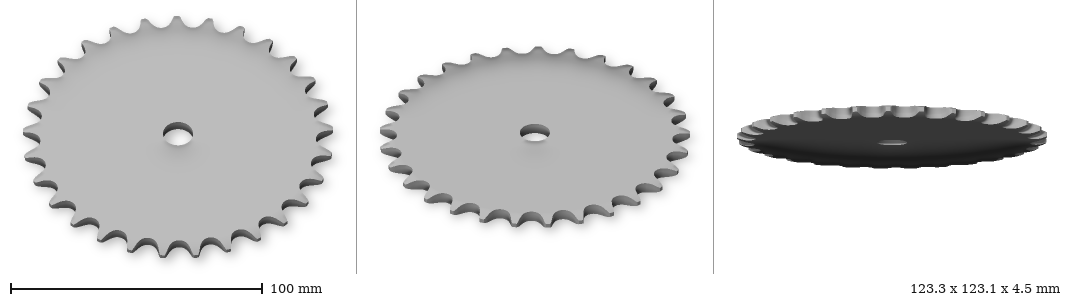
import cadquery as cq
import math

outer_width = 123.3
tooth_count = 29
chain_pitch = 12.7
tip_half_angle = 0.8
thickness = 4.5
bore_diameter = 12.0

seat_radius = 4.0
seat_half_angle = 55 - 60 / tooth_count
working_radius = 10.1
working_angle = 18 - 56 / tooth_count
flat_length = 1.06
topping_radius = 6.3
topping_angle = 30

side_start_radius = 56.0
side_arc_radius = 12.7

pitch_angle = 360 / tooth_count
pitch_radius = chain_pitch / (2 * math.sin(math.radians(pitch_angle / 2)))
root_radius = pitch_radius - seat_radius

widest_corner_angle = pitch_angle / 4 - tip_half_angle
tip_radius = outer_width / 2 / math.cos(math.radians(widest_corner_angle))


def arc_point(start, heading, radius, turn):
    """End of an arc that leaves start at a heading; angles in degrees, a left turn is positive."""
    side = math.copysign(radius, turn)
    begin = math.radians(heading)
    end = math.radians(heading + turn)
    return (
        start[0] + side * (math.sin(end) - math.sin(begin)),
        start[1] - side * (math.cos(end) - math.cos(begin)),
    )


def mirrored(point):
    return (-point[0], point[1])


def make_gap():
    """Cutter for one tooth gap, centred on +Y; each flank is a chain of tangent curves."""
    root = (0, root_radius)
    seat_end = arc_point(root, 0, seat_radius, seat_half_angle)

    working_middle = arc_point(seat_end, seat_half_angle, working_radius, working_angle / 2)
    working_end = arc_point(seat_end, seat_half_angle, working_radius, working_angle)

    flank_heading = seat_half_angle + working_angle
    flat_end = (
        working_end[0] + flat_length * math.cos(math.radians(flank_heading)),
        working_end[1] + flat_length * math.sin(math.radians(flank_heading)),
    )

    topping_middle = arc_point(flat_end, flank_heading, topping_radius, -topping_angle / 2)
    topping_end = arc_point(flat_end, flank_heading, topping_radius, -topping_angle)

    return (
        cq.Workplane("XY")
        .workplane(offset=-thickness / 2)
        .moveTo(*mirrored(topping_end))
        .threePointArc(mirrored(topping_middle), mirrored(flat_end))
        .lineTo(*mirrored(working_end))
        .threePointArc(mirrored(working_middle), mirrored(seat_end))
        .threePointArc(root, seat_end)
        .threePointArc(working_middle, working_end)
        .lineTo(*flat_end)
        .threePointArc(topping_middle, topping_end)
        .close()
        .extrude(thickness)
    )


def side_half_thickness(radius):
    """Half thickness of the rounded rim; its side arc is tangent to the flat face."""
    run = radius - side_start_radius
    return thickness / 2 - side_arc_radius + math.sqrt(side_arc_radius**2 - run**2)


def make_disc():
    """Disc with both sides of the rim rounded."""
    half = thickness / 2
    tip_half = side_half_thickness(tip_radius)
    middle_radius = (side_start_radius + tip_radius) / 2
    middle_half = side_half_thickness(middle_radius)
    return (
        cq.Workplane("XZ")
        .moveTo(0, -half)
        .lineTo(side_start_radius, -half)
        .threePointArc((middle_radius, -middle_half), (tip_radius, -tip_half))
        .lineTo(tip_radius, tip_half)
        .threePointArc((middle_radius, middle_half), (side_start_radius, half))
        .lineTo(0, half)
        .close()
        .revolve(360, (0, 0, 0), (0, 1, 0))
    )


sprocket = make_disc()
gap = make_gap()
for index in range(tooth_count):
    sprocket = sprocket.cut(gap.rotate((0, 0, 0), (0, 0, 1), index * pitch_angle))

bore = cq.Workplane("XY").circle(bore_diameter / 2).extrude(thickness, both=True)
result = sprocket.cut(bore)